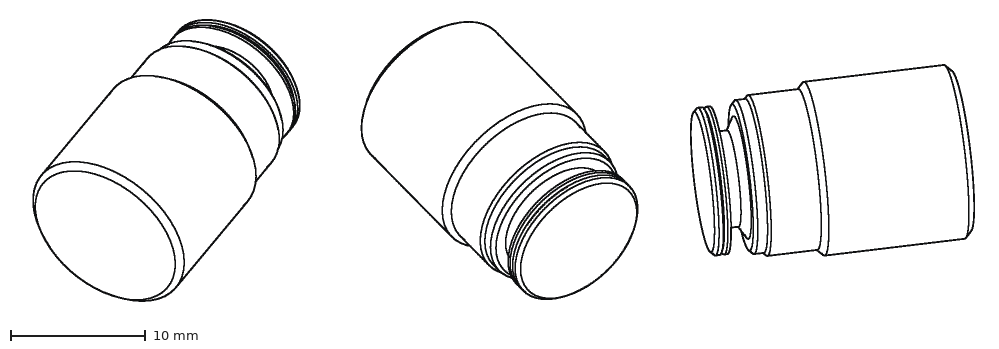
import cadquery as cq

LENGTH = 19.4
BODY_RADIUS = 6.5
BODY_CHAMFER = 0.48

STEP_RADIUS = 6.01
COLLAR_RADIUS = 5.76
COLLAR_CHAMFER = 0.3
CONE_RADIUS = 4.6
NECK_RADIUS = 3.6
NECK_FLARE = 0.17
FLANGE_RADIUS = 5.53
FLANGE_CHAMFER = 0.3
GROOVE_RADIUS = 5.28

GROOVE_START = 0.62
GROOVE_FLOOR_END = 0.74
GROOVE_END = 0.95
FLANGE_END = 1.2
FLARE_LENGTH = 0.3
CONE_START = 2.27
COLLAR_START = 2.87
COLLAR_END = 3.9
STEP_START = 4.13
STEP_END = 7.9
BODY_START = STEP_END + BODY_CHAMFER

flange = [
    (0, 0),
    (FLANGE_RADIUS - FLANGE_CHAMFER, 0),
    (FLANGE_RADIUS, FLANGE_CHAMFER),
    (FLANGE_RADIUS, GROOVE_START),
    (GROOVE_RADIUS, GROOVE_START),
    (GROOVE_RADIUS, GROOVE_FLOOR_END),
    (FLANGE_RADIUS, GROOVE_END),
    (FLANGE_RADIUS, FLANGE_END),
    (NECK_RADIUS + NECK_FLARE, FLANGE_END),
]
neck = [
    (NECK_RADIUS, FLANGE_END + FLARE_LENGTH),
    (NECK_RADIUS, CONE_START),
    (CONE_RADIUS, COLLAR_START),
]
collar = [
    (COLLAR_RADIUS - COLLAR_CHAMFER, COLLAR_START),
    (COLLAR_RADIUS, COLLAR_START + COLLAR_CHAMFER),
    (COLLAR_RADIUS, COLLAR_END),
    (STEP_RADIUS, STEP_START),
    (STEP_RADIUS, STEP_END),
]
body = [
    (BODY_RADIUS, BODY_START),
    (BODY_RADIUS, LENGTH - BODY_CHAMFER),
    (BODY_RADIUS - BODY_CHAMFER, LENGTH),
    (0, LENGTH),
]

flare_radius = (FLARE_LENGTH**2 + NECK_FLARE**2) / (2 * NECK_FLARE)


def to_part(points):
    """Place profile points so the flanged end faces +Y and the body end faces -Y."""
    return [(radius, LENGTH / 2 - distance) for radius, distance in points]


flare_end = to_part(neck)[0]
result = (
    cq.Workplane("XY")
    .polyline(to_part(flange))
    .radiusArc(flare_end, -flare_radius)
    .polyline(to_part(neck + collar + body), includeCurrent=False)
    .close()
    .revolve(360, (0, 0, 0), (0, 1, 0))
)